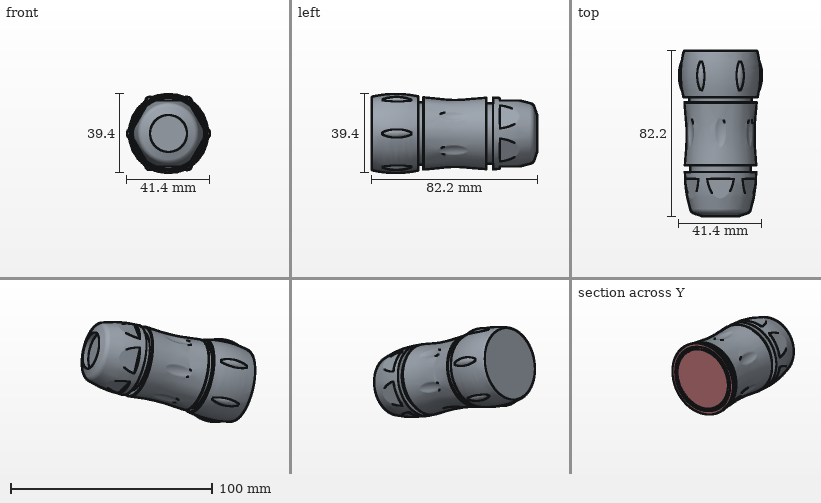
import cadquery as cq
import math

cone_end = 1.39
nose_end = 3.86
clamp_end = 21.95
body_start = 25.1
body_end = 56.65
ring_start = 58.95
total_length = 82.19

recess_radius = 9.16
recess_depth = 3.0

cone_radius = 13.3
nose_mid_y = 2.3
nose_mid_radius = 14.5
nose_radius = 15.2
flank_mid_y = 12.0
flank_mid_radius = 17.05
clamp_radius = 17.8

front_groove_radius = 15.05
back_groove_radius = 15.55

body_front_radius = 17.8
body_back_radius = 18.0
waist_y = 40.0
waist_radius = 16.95
body_rim_length = 0.45
body_rim_drop = 0.2

ring_rim_length = 0.3
ring_rim_drop = 0.4
ring_front_radius = 18.5
ring_pocket_radius = 16.6
ring_pocket_depth = 2.0
ring_crest_y = 69.9
ring_crest_radius = 19.71
ring_back_y = 80.84
ring_back_radius = 18.6
ring_back_rim_mid_y = 81.75
ring_back_rim_mid_radius = 18.3
ring_end_radius = 17.95

repeat_count = 6
repeat_angle = 360 / repeat_count

flat_height = 16.45
flat_start = 18.45
flat_wall_lean = 0.4
flat_wall_height = 1.6

dimple_y = 41.2
dimple_length = 14.7
dimple_width = 5.0
dimple_depth = 0.8
dimple_end_rise = 0.25
dimple_edge_fillet = 1.2

pad_y = ring_crest_y
pad_top_radius = 20.695
pad_section_radius = 2.55
pad_profile_radius = 18.9


def revolved_shell():
    """Outer shape of the whole plug, revolved about the Y axis."""
    profile = (
        cq.Workplane("XY")
        .moveTo(0, 0)
        .lineTo(recess_radius, 0)
        .lineTo(cone_radius, cone_end)
        .threePointArc((nose_mid_radius, nose_mid_y), (nose_radius, nose_end))
        .threePointArc((flank_mid_radius, flank_mid_y), (clamp_radius, clamp_end))
        .lineTo(front_groove_radius, clamp_end)
        .lineTo(front_groove_radius, body_start)
        .lineTo(body_front_radius - body_rim_drop, body_start)
        .lineTo(body_front_radius, body_start + body_rim_length)
        .threePointArc((waist_radius, waist_y), (body_back_radius, body_end - body_rim_length))
        .lineTo(body_back_radius - body_rim_drop, body_end)
        .lineTo(back_groove_radius, body_end)
        .lineTo(back_groove_radius, ring_start + ring_pocket_depth)
        .lineTo(ring_pocket_radius, ring_start + ring_pocket_depth)
        .lineTo(ring_pocket_radius, ring_start)
        .lineTo(ring_front_radius - ring_rim_drop, ring_start)
        .lineTo(ring_front_radius, ring_start + ring_rim_length)
        .threePointArc((ring_crest_radius, ring_crest_y), (ring_back_radius, ring_back_y))
        .threePointArc((ring_back_rim_mid_radius, ring_back_rim_mid_y), (ring_end_radius, total_length))
        .lineTo(0, total_length)
        .close()
    )
    return profile.revolve(360, (0, 0, 0), (0, 1, 0))


def around_axis(shape, first_angle):
    """Copies of a shape placed on the +Z side, spread evenly about the Y axis."""
    return [
        shape.rotate((0, 0, 0), (0, 1, 0), first_angle + index * repeat_angle)
        for index in range(repeat_count)
    ]


def spindle(axis_height, center_y, belly_radius, profile_radius):
    """Pointed spindle parallel to Y, on the +Z side, with a circular-arc profile."""
    half_length = math.sqrt(profile_radius**2 - (profile_radius - belly_radius) ** 2)
    return (
        cq.Workplane("XY")
        .moveTo(0, -half_length)
        .threePointArc((belly_radius, 0), (0, half_length))
        .close()
        .revolve(360, (0, 0, 0), (0, 1, 0))
        .translate((0, center_y, axis_height))
    )


def front_recess():
    return cq.Workplane("XZ").circle(recess_radius).extrude(-recess_depth)


def flat_cutter():
    """Removes everything above the flat, up to a slightly leaning end wall."""
    cutter_top = flat_height + flat_wall_height
    lean_y = flat_start + flat_wall_lean
    return (
        cq.Workplane("YZ")
        .polyline([(0, flat_height), (flat_start, flat_height), (lean_y, cutter_top), (0, cutter_top)])
        .close()
        .extrude(clamp_radius, both=True)
    )


def dimple_cutter():
    """Spindle that leaves a dimple of the wanted length, width and depth."""
    floor_height = waist_radius - dimple_depth
    half_width = dimple_width / 2
    edge_height = math.sqrt(waist_radius**2 - half_width**2)
    edge_rise = edge_height - floor_height
    section_radius = (half_width**2 + edge_rise**2) / (2 * edge_rise)
    half_length = dimple_length / 2
    end_depth = dimple_depth + dimple_end_rise
    profile_radius = (half_length**2 + end_depth**2) / (2 * end_depth)
    return spindle(floor_height + section_radius, dimple_y, section_radius, profile_radius)


def dimple_rims():
    """Selects the edges that lie wholly in the zone around the dimples."""
    reach = 2 * body_back_radius
    start = dimple_y - dimple_length
    end = dimple_y + dimple_length
    return cq.selectors.BoxSelector((-reach, start, -reach), (reach, end, reach), boundingbox=True)


def grip_pad():
    return spindle(pad_top_radius - pad_section_radius, pad_y, pad_section_radius, pad_profile_radius)


result = revolved_shell().cut(front_recess())

for cutter in around_axis(flat_cutter(), 0):
    result = result.cut(cutter)

for cutter in around_axis(dimple_cutter(), 0):
    result = result.cut(cutter)
result = result.edges(dimple_rims()).fillet(dimple_edge_fillet)

for pad in around_axis(grip_pad(), repeat_angle / 2):
    result = result.union(pad)